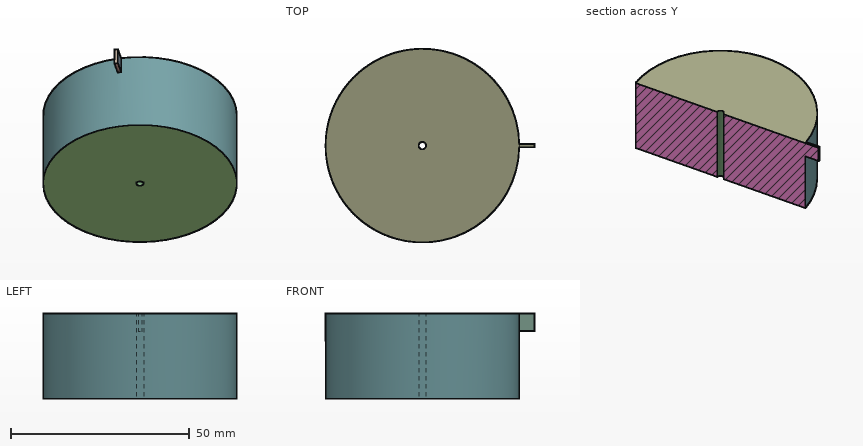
import cadquery as cq

drum_diameter = 54.44
drum_height = 24.0
drum_radius = drum_diameter / 2

hole_diameter = 2.0

overall_length = 58.72
tab_thickness = 1.0
tab_height = 5.0
tab_tip_x = overall_length - drum_radius
tab_root_overlap = 1.0


def make_drum():
    """Upright cylinder standing on the XY plane."""
    return cq.Workplane("XY").circle(drum_radius).extrude(drum_height)


def make_tab():
    """Thin radial plate that starts inside the drum wall and ends at the tip."""
    root_x = drum_radius - tab_root_overlap
    tab_length = tab_tip_x - root_x
    return (
        cq.Workplane("XY")
        .box(tab_length, tab_thickness, tab_height, centered=(False, True, False))
        .translate((root_x, 0, drum_height - tab_height))
    )


def make_hole():
    """Cutter for the hole along the drum axis."""
    return cq.Workplane("XY").circle(hole_diameter / 2).extrude(drum_height)


result = make_drum().union(make_tab()).cut(make_hole())